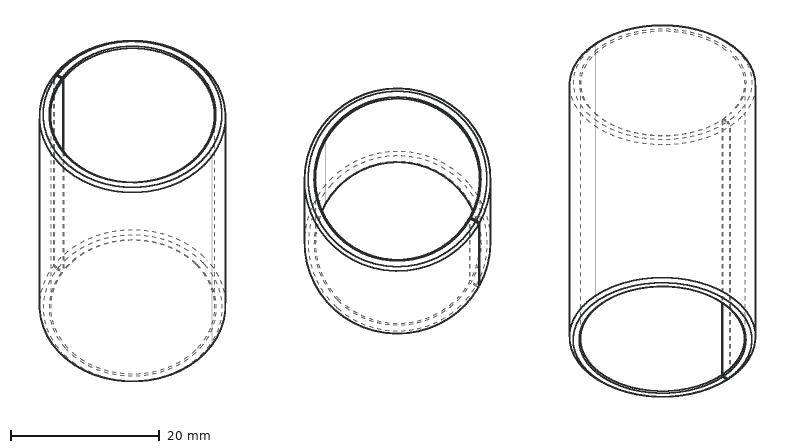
import cadquery as cq

length = 45.0
outer_diameter = 25.0
wall = 1.5
outer_chamfer = 0.5
inner_chamfer = 0.2
slit_width = 0.2

outer_radius = outer_diameter / 2
inner_radius = outer_radius - wall


def sleeve():
    """Revolve the wall section, chamfered at both ends inside and out."""
    section = [
        (inner_radius, inner_chamfer),
        (inner_radius + inner_chamfer, 0),
        (outer_radius - outer_chamfer, 0),
        (outer_radius, outer_chamfer),
        (outer_radius, length - outer_chamfer),
        (outer_radius - outer_chamfer, length),
        (inner_radius + inner_chamfer, length),
        (inner_radius, length - inner_chamfer),
    ]
    return cq.Workplane("XZ").polyline(section).close().revolve(360, (0, 0), (0, 1))


def slit():
    """Cutter that opens the -X wall from end to end, with one slit face on the XZ plane."""
    cutter = cq.Workplane("XY").box(outer_radius, slit_width, length, centered=False)
    return cutter.translate((-outer_radius, 0, 0))


result = sleeve().cut(slit())